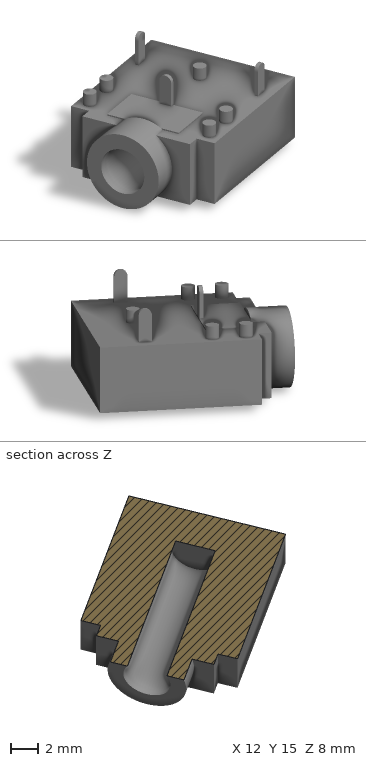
import cadquery as cq

body_width = 12.0
body_length = 12.0
body_height = 5.0
step_width = 9.0
step_length = 1.0

barrel_diameter = 6.0
barrel_length = 3.0
bore_diameter = 3.6
bore_depth = 12.0
axis_height = body_height / 2

plate_width = barrel_diameter
plate_length = 3.65
plate_thickness = 0.1

peg_diameter = 1.0
peg_height = 1.0
side_x = 5.0
front_peg_y = 1.0
middle_y = 3.5
rear_y = 8.5
peg_positions = [
    (-side_x, front_peg_y),
    (side_x, front_peg_y),
    (-side_x, middle_y),
    (side_x, middle_y),
    (0, rear_y),
]

pin_width = 1.0
pin_thickness = 0.3
pin_height = 2.5


def block(width, y_start, y_end, z_start, height):
    """Box centred on X = 0, given by its Y range, base level and height."""
    return (
        cq.Workplane("XY", origin=(0, y_start, z_start))
        .box(width, y_end - y_start, height, centered=(True, False, False))
    )


def axial_cylinder(diameter, length):
    """Cylinder on the jack axis, running back (+Y) from the barrel mouth."""
    return (
        cq.Workplane("XZ", origin=(0, -barrel_length, axis_height))
        .circle(diameter / 2)
        .extrude(-length)
    )


def make_pegs():
    return (
        cq.Workplane("XY", origin=(0, 0, body_height))
        .pushPoints(peg_positions)
        .circle(peg_diameter / 2)
        .extrude(peg_height)
    )


def make_pin(x, y, plane):
    """Pin standing on the top face, its broad side parallel to the given plane."""
    half_width = pin_width / 2
    shoulder = pin_height - half_width
    return (
        cq.Workplane(plane, origin=(x, y, body_height))
        .moveTo(-half_width, 0)
        .lineTo(-half_width, shoulder)
        .threePointArc((0, pin_height), (half_width, shoulder))
        .lineTo(half_width, 0)
        .close()
        .extrude(pin_thickness / 2, both=True)
    )


main_block = block(body_width, 0, body_length, 0, body_height)
front_step = block(step_width, -step_length, 0, 0, body_height)
raised_plate = block(plate_width, 0, plate_length, body_height, plate_thickness)

result = main_block.union(front_step).union(raised_plate)
result = result.union(axial_cylinder(barrel_diameter, barrel_length))
result = result.cut(axial_cylinder(bore_diameter, bore_depth))
result = result.union(make_pegs())

result = result.union(make_pin(0, middle_y, "XZ"))
for pin_x in (-side_x, side_x):
    result = result.union(make_pin(pin_x, rear_y, "YZ"))